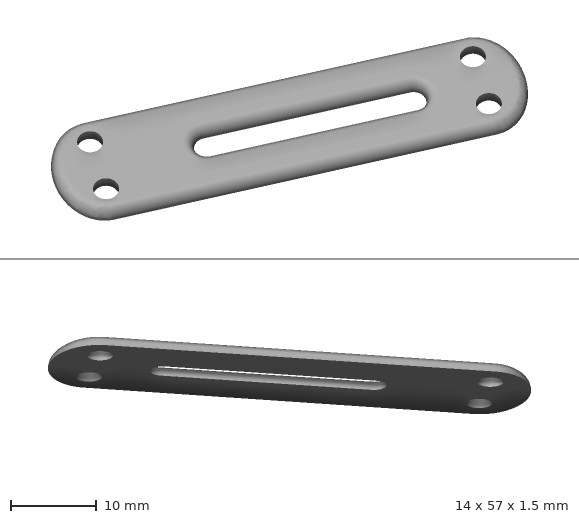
import cadquery as cq

length = 56.95
width = 14.0
thickness = 1.5
end_rise = 5.35

bottom_land = 0.005
rounding = thickness - bottom_land

slot_width = 3.0
slot_top_center = 15.0
slot_bottom_center = -9.95

hole_diameter = 3.0
hole_spacing_x = 7.0

half_width = width / 2
half_length = length / 2
straight_end = half_length - end_rise


def plate():
    """Flat plate with straight sides and half-elliptical ends."""
    sides = cq.Workplane("XY").rect(width, 2 * straight_end).extrude(thickness)
    for end in (-1, 1):
        end_cap = (
            cq.Workplane("XY")
            .center(0, end * straight_end)
            .ellipse(half_width, end_rise)
            .extrude(thickness)
        )
        sides = sides.union(end_cap)
    return sides.clean()


def slot():
    """Cutter for the round-ended slot."""
    center_distance = slot_top_center - slot_bottom_center
    return (
        cq.Workplane("XY")
        .center(0, (slot_top_center + slot_bottom_center) / 2)
        .slot2D(center_distance + slot_width, slot_width, 90)
        .extrude(thickness)
    )


def screw_holes():
    """Cutters for the four screw holes."""
    return (
        cq.Workplane("XY")
        .rect(hole_spacing_x, 2 * straight_end, forConstruction=True)
        .vertices()
        .circle(hole_diameter / 2)
        .extrude(thickness)
    )


slotted_plate = plate().cut(slot())
rounded_plate = slotted_plate.faces(">Z").edges().fillet(rounding)
result = rounded_plate.cut(screw_holes())